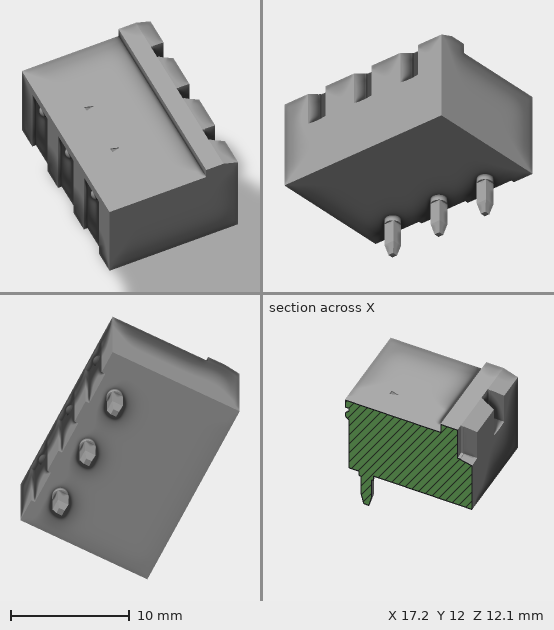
import cadquery as cq

housing_width = 17.24
housing_depth = 12.0
deck_height = 7.65
ridge_height = 8.57
ridge_depth = 2.98
bevel_depth = 1.36
bevel_drop = 0.5

pole_count = 3
pole_pitch = 5.07

pin_inset = 2.0
collar_diameter = 1.41
collar_height = 0.5
pin_side = 1.0
pin_shank = 2.03
pin_taper = 1.0
pin_tip_side = 0.52

recess_width = 3.0
recess_height = 6.8
recess_depth = 0.35
contact_height = 5.98
contact_radius = 0.48

socket_mouth_width = 1.91
socket_lead_in = 1.12
socket_taper = 0.28
socket_throat_width = 1.24
socket_throat_drop = 0.62
socket_floor_bow = 0.09

arrow_width = 0.45
arrow_length = 0.75
arrow_inset = 3.05
arrow_sink = 0.1

front_y = -housing_depth / 2
back_y = housing_depth / 2
pole_xs = [(i - (pole_count - 1) / 2) * pole_pitch for i in range(pole_count)]
arrow_xs = [(a + b) / 2 for a, b in zip(pole_xs, pole_xs[1:])]


def make_housing():
    """Block with a raised, bevelled ridge along the back of its deck."""
    profile = [
        (front_y, 0),
        (back_y, 0),
        (back_y, ridge_height - bevel_drop),
        (back_y - bevel_depth, ridge_height),
        (back_y - ridge_depth, ridge_height),
        (back_y - ridge_depth, deck_height),
        (front_y, deck_height),
    ]
    return cq.Workplane("YZ").polyline(profile).close().extrude(housing_width / 2, both=True)


def make_recess(x):
    """Shallow rectangular channel in the front face, open at the bottom."""
    recess = cq.Workplane("XY", origin=(x, front_y, 0))
    return recess.box(recess_width, recess_depth, recess_height, centered=(True, False, False))


def make_contact_end(x):
    """Spherical cap on the recess floor, just reaching the plane of the front face."""
    sphere_radius = (contact_radius**2 + recess_depth**2) / (2 * recess_depth)
    half_profile = (
        cq.Workplane("XY", origin=(x, front_y + recess_depth, contact_height))
        .lineTo(contact_radius, 0)
        .radiusArc((0, -recess_depth), sphere_radius)
        .close()
    )
    return half_profile.revolve(360, (0, 0, 0), (0, 1, 0))


def socket_outline(y, width, floor_drop):
    """Upright outline with a bowed floor, reaching the full height of the ridge."""
    floor_z = contact_height - floor_drop
    corner_z = floor_z + socket_floor_bow
    half = width / 2
    return (
        cq.Workplane("XZ", origin=(0, y, 0))
        .moveTo(half, ridge_height)
        .lineTo(-half, ridge_height)
        .lineTo(-half, corner_z)
        .threePointArc((0, floor_z), (half, corner_z))
        .close()
    )


def make_socket(x):
    """Tapered lead-in from the back face, then a straight throat up to the ridge."""
    mouth_drop = socket_mouth_width / 2
    lead_in_end = back_y - socket_lead_in
    mouth = socket_outline(back_y, socket_mouth_width, mouth_drop)
    inner = socket_outline(
        lead_in_end, socket_mouth_width - 2 * socket_taper, mouth_drop - socket_taper
    )
    mouth_wire = mouth.wire().val()
    inner_wire = inner.wire().val()
    lead_in = cq.Workplane(cq.Solid.makeLoft([mouth_wire, inner_wire], True))
    throat = socket_outline(back_y, socket_throat_width, socket_throat_drop).extrude(bevel_depth)
    return lead_in.union(throat).translate((x, 0, 0))


def make_pin(x):
    """Round collar, square shank and pyramidal tip, hanging from the bottom face."""
    collar = cq.Workplane("XY").circle(collar_diameter / 2).extrude(-collar_height)
    shank = cq.Workplane("XY").rect(pin_side, pin_side).extrude(-collar_height - pin_shank)
    tip = (
        cq.Workplane("XY", origin=(0, 0, -collar_height - pin_shank))
        .rect(pin_side, pin_side)
        .workplane(offset=-pin_taper)
        .rect(pin_tip_side, pin_tip_side)
        .loft()
    )
    pin = collar.union(shank).union(tip)
    return pin.translate((x, front_y + pin_inset, 0))


def make_arrow(x):
    """Triangular mark pointing to the back."""
    base_y = front_y + arrow_inset
    outline = [
        (x - arrow_width / 2, base_y),
        (x + arrow_width / 2, base_y),
        (x, base_y + arrow_length),
    ]
    return cq.Workplane("XY", origin=(0, 0, deck_height)).polyline(outline).close().extrude(-arrow_sink)


result = make_housing()
for pole_x in pole_xs:
    result = result.cut(make_recess(pole_x)).cut(make_socket(pole_x))
    result = result.union(make_contact_end(pole_x)).union(make_pin(pole_x))
for arrow_x in arrow_xs:
    result = result.cut(make_arrow(arrow_x))